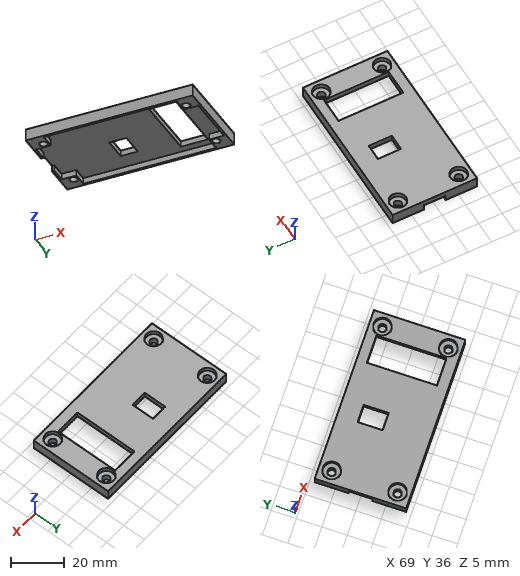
import cadquery as cq

length = 69.0
width = 36.0
thickness = 5.0

wall = 1.0
skin = 2.5
cavity_depth = thickness - skin

screw_edge_gap = 5.05
screw_hole_diameter = 3.2
counterbore_diameter = 7.0
counterbore_depth = 2.0
boss_half_width = 2.0

large_window_length = 11.2
large_window_width = 27.5
large_window_x = 19.95
large_window_y = 0.2

small_window_length = 7.05
small_window_width = 9.8
small_window_x = -5.05
small_window_y = 5.0

notch_width = 9.2


def block(size_x, size_y, size_z):
    """Box centred in X and Y and standing on the underside plane."""
    return cq.Workplane("XY").box(size_x, size_y, size_z, centered=(True, True, False))


def at_screws(workplane):
    """Select the four screw positions on a workplane."""
    spacing_x = length - 2 * screw_edge_gap
    spacing_y = width - 2 * screw_edge_gap
    return workplane.rect(spacing_x, spacing_y, forConstruction=True).vertices()


cavity = block(length - 2 * wall, width - 2 * wall, cavity_depth)
shell = block(length, width, thickness).cut(cavity)

boss_side = screw_edge_gap + boss_half_width
body = shell
for side_x in (-1, 1):
    for side_y in (-1, 1):
        boss_x = side_x * (length - boss_side) / 2
        boss_y = side_y * (width - boss_side) / 2
        boss = block(boss_side, boss_side, thickness).translate((boss_x, boss_y, 0))
        body = body.union(boss)

large_window = block(large_window_length, large_window_width, thickness)
large_window = large_window.translate((large_window_x, large_window_y, 0))
small_window = block(small_window_length, small_window_width, thickness)
small_window = small_window.translate((small_window_x, small_window_y, 0))
body = body.cut(large_window).cut(small_window)

notch = block(wall, notch_width, cavity_depth).translate(((wall - length) / 2, 0, 0))
body = body.cut(notch)

result = at_screws(body.faces(">Z").workplane(origin=(0, 0, thickness))).cboreHole(
    screw_hole_diameter, counterbore_diameter, counterbore_depth
)